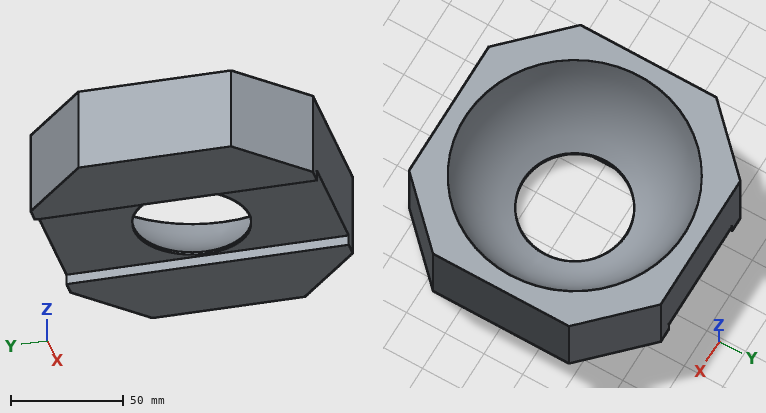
import cadquery as cq

width = 130.0
height = 40.0
corner_cut = 29.9

bowl_radius = 60.0
hole_diameter = 53.0

channel_width = 55.6
channel_depth = 5.0


def octagonal_block():
    block = cq.Workplane("XY").box(width, width, height, centered=(True, True, False))
    return block.edges("|Z").chamfer(corner_cut)


def bowl():
    return cq.Workplane("XY").sphere(bowl_radius).translate((0, 0, bowl_radius))


def floor_hole():
    return cq.Workplane("XY").circle(hole_diameter / 2).extrude(height)


def underside_channel():
    return cq.Workplane("XY").box(channel_width, width, channel_depth, centered=(True, True, False))


result = octagonal_block().cut(bowl()).cut(floor_hole()).cut(underside_channel())